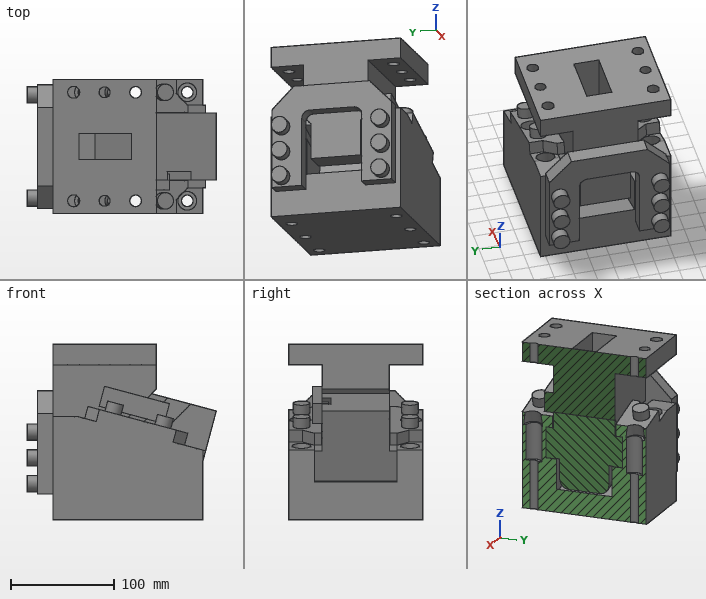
import cadquery as cq
import math


base_length = 145.0
unit_width = 130.0
shelf_length = 24.0
shelf_height = 100.0
slide_angle = 15.0

slide_rad = math.radians(slide_angle)
slide_axis = (math.cos(slide_rad), 0, -math.sin(slide_rad))
slide_normal = (math.sin(slide_rad), 0, math.cos(slide_rad))
slide_origin = (shelf_length, 0, shelf_height)
slide_side = cq.Plane(origin=slide_origin, xDir=slide_axis, normal=(0, -1, 0))
slide_top = cq.Plane(origin=slide_origin, xDir=slide_axis, normal=slide_normal)
slope_end_height = shelf_height - (base_length - shelf_length) * math.tan(slide_rad)

slider_end = 128.2
slider_height = 40.0
slider_width = 65.0
flange_width = 80.0
flange_thickness = 30.0
flange_back_x = 44.5
keel_start = 23.6
keel_bottom = -59.0
keel_width = 52.0
keel_radius = 10.0

neck_width = slider_width + 1.0
channel_width = 58.0
channel_floor = -64.0
channel_end = 70.0
slot_overrun = 60.0

pad_start = 7.0
pad_length = 100.0
pad_height = 12.0
pad_step = 11.5
pad_inner_land = flange_width / 2
pad_screw_spacing = 50.0
screw_head_diameter = 16.0
screw_head_height = 10.0
pad_hole_diameter = 20.0
pad_hole_y = 53.5
screw_row_y = 52.5

mount_hole_x = (30.0, 80.0, 130.0)
mount_hole_diameter = 11.0
mount_bore_diameter = 18.0
mount_seat_height = 50.0

plate_thickness = 15.0
plate_width = 120.0
plate_bottom = 25.0
plate_top = 125.0
plate_chamfer = 22.0
plate_slot_width = 60.0
plate_slot_top = 100.0
plate_slot_radius = 8.0
plate_screw_y = 50.0
plate_screw_z = (35.0, 60.0, 85.0)

driver_length = 100.0
driver_top = 170.0
driver_flange_thickness = 20.0
blade_width = 50.0
blade_bottom = 55.5
blade_shoulder = 90.5
drive_offset = 26.5
pocket_start = 25.0
pocket_length = 51.0
pocket_width = 25.0
pocket_floor = 67.0
driver_holes = ((20.0, 11.5), (50.0, 10.5), (80.0, 11.0))

key_start = 17.5
key_length = 65.0
key_height = 20.0
key_gap = 3.0
key_outer_y = -42.0
key_inner_y = -26.5
return_wall_offset = 7.0
return_groove_width = 20.0
return_groove_y = -24.0

reach = 400.0


def box(x0, x1, y0, y1, z0, z1):
    return cq.Workplane("XY").box(x1 - x0, y1 - y0, z1 - z0, centered=False).translate((x0, y0, z0))


def slide_bar(u0, u1, v0, v1, width):
    """Bar along the slope, centred on Y = 0."""
    bar = cq.Workplane(slide_side).center((u0 + u1) / 2, (v0 + v1) / 2)
    return bar.rect(u1 - u0, v1 - v0).extrude(width / 2, both=True)


def beyond_45_plane(offset):
    """Everything to the +X side of the plane z = x + offset."""
    corners = [(-reach, -reach + offset), (reach, -reach + offset), (reach, reach + offset)]
    return cq.Workplane("XZ").polyline(corners).close().extrude(reach / 2, both=True)


def make_pad(side):
    """Retaining pad over one slider flange, with stepped-back corners, a hole and two screw heads."""
    inner = side * neck_width / 2
    land = side * pad_inner_land
    step = side * (pad_inner_land + pad_step)
    outer = side * unit_width / 2
    u0 = pad_start
    u1 = pad_start + pad_length
    outline = [
        (u0, inner), (u0, land), (u0 + pad_step, step), (u0 + pad_step, outer),
        (u1 - pad_step, outer), (u1 - pad_step, step), (u1, land), (u1, inner),
    ]
    pad = cq.Workplane(slide_top).polyline(outline).close().extrude(pad_height)
    middle = (u0 + u1) / 2
    hole = cq.Workplane(slide_top).center(middle, side * pad_hole_y)
    pad = pad.cut(hole.circle(pad_hole_diameter / 2).extrude(pad_height))
    heads = cq.Workplane(slide_top).pushPoints(
        [(middle + k * pad_screw_spacing / 2, side * screw_row_y) for k in (-1, 1)]
    )
    return pad.union(heads.circle(screw_head_diameter / 2).extrude(pad_height + screw_head_height))


def make_back_plate():
    plate = box(-plate_thickness, 0, -plate_width / 2, plate_width / 2, plate_bottom, plate_top)
    plate = plate.edges("|X and >Z").chamfer(plate_chamfer)
    half_slot = plate_slot_width / 2
    slot = box(-plate_thickness, 0, -half_slot, half_slot, plate_bottom, plate_slot_top)
    plate = plate.cut(slot.edges("|X and >Z").fillet(plate_slot_radius))
    screws = [(y, z) for y in (-plate_screw_y, plate_screw_y) for z in plate_screw_z]
    heads = cq.Workplane("YZ", origin=(-plate_thickness, 0, 0)).pushPoints(screws)
    return plate.union(heads.circle(screw_head_diameter / 2).extrude(-screw_head_height))


def make_base():
    profile = [
        (0, 0), (base_length, 0), (base_length, slope_end_height),
        (shelf_length, shelf_height), (0, shelf_height),
    ]
    base = cq.Workplane("XZ").polyline(profile).close().extrude(unit_width / 2, both=True)
    base = base.cut(slide_bar(-slot_overrun, reach, -flange_thickness, slot_overrun, flange_width))
    base = base.cut(slide_bar(-slot_overrun, channel_end, channel_floor, 0, channel_width))
    for x in mount_hole_x:
        for y in (-screw_row_y, screw_row_y):
            hole = cq.Workplane("XY", origin=(x, y, 0))
            base = base.cut(hole.circle(mount_hole_diameter / 2).extrude(shelf_height))
            seat = cq.Workplane("XY", origin=(x, y, mount_seat_height))
            base = base.cut(seat.circle(mount_bore_diameter / 2).extrude(shelf_height))
    for side in (-1, 1):
        base = base.union(make_pad(side))
    return base.union(make_back_plate())


def make_slider():
    upper = slide_bar(0, slider_end, -flange_thickness, slider_height, slider_width)
    flange = slide_bar(0, slider_end, -flange_thickness, 0, flange_width)
    behind_flange = box(-reach, flange_back_x, -reach, reach, -reach, reach)
    slider = upper.union(flange).cut(behind_flange)
    keel = slide_bar(keel_start, channel_end, keel_bottom, 0, keel_width)
    underside = cq.selectors.DirectionMinMaxSelector(cq.Vector(*slide_normal), directionMax=False)
    keel = keel.faces(underside).edges("not |Y").fillet(keel_radius)
    slider = slider.union(keel).intersect(beyond_45_plane(drive_offset))
    return slider.cut(make_return_groove())


def make_return_groove():
    """45 degree groove in the -Y flank of the slider, stopping at the top of the flange."""
    far_offset = return_wall_offset - return_groove_width * math.sqrt(2)
    groove = beyond_45_plane(return_wall_offset).cut(beyond_45_plane(far_offset))
    flank = box(0, reach, -reach, return_groove_y, 0, reach)
    above_flange = slide_bar(0, slider_end, 0, slider_height, reach)
    return groove.intersect(flank).intersect(above_flange)


def make_driver():
    half_unit = unit_width / 2
    half_stem = slider_width / 2
    half_blade = blade_width / 2
    flange_bottom = driver_top - driver_flange_thickness
    right_half = [
        (half_unit, driver_top), (half_unit, flange_bottom), (half_stem, flange_bottom),
        (half_stem, blade_shoulder + half_stem - half_blade),
        (half_blade, blade_shoulder), (half_blade, blade_bottom),
    ]
    left_half = [(-y, z) for y, z in reversed(right_half)]
    driver = cq.Workplane("YZ").polyline(right_half + left_half).close().extrude(driver_length)
    below_flange = box(0, reach, -half_stem, half_stem, 0, flange_bottom)
    driver = driver.cut(beyond_45_plane(drive_offset).intersect(below_flange))
    half_pocket = pocket_width / 2
    pocket_end = pocket_start + pocket_length
    driver = driver.cut(
        box(pocket_start, pocket_end, -half_pocket, half_pocket, pocket_floor, driver_top)
    )
    for x, diameter in driver_holes:
        for y in (-screw_row_y, screw_row_y):
            hole = cq.Workplane("XY", origin=(x, y, flange_bottom)).circle(diameter / 2)
            driver = driver.cut(hole.extrude(driver_flange_thickness))
    return driver.union(make_return_key())


def make_return_key():
    """Tilted bar on the -Y flank of the driver, with a tab reaching into the slider groove."""
    bottom = pad_height + key_gap
    bar = slide_bar(key_start, key_start + key_length, bottom, bottom + key_height, reach)
    outside = box(0, reach, key_outer_y, -slider_width / 2, 0, reach)
    tab = box(0, reach, key_outer_y, key_inner_y, 0, reach).intersect(
        beyond_45_plane(return_wall_offset)
    )
    return bar.intersect(outside.union(tab))


base = make_base()
slider = make_slider()
driver = make_driver()

result = cq.Compound.makeCompound([base.solids().val(), slider.solids().val(), driver.solids().val()])